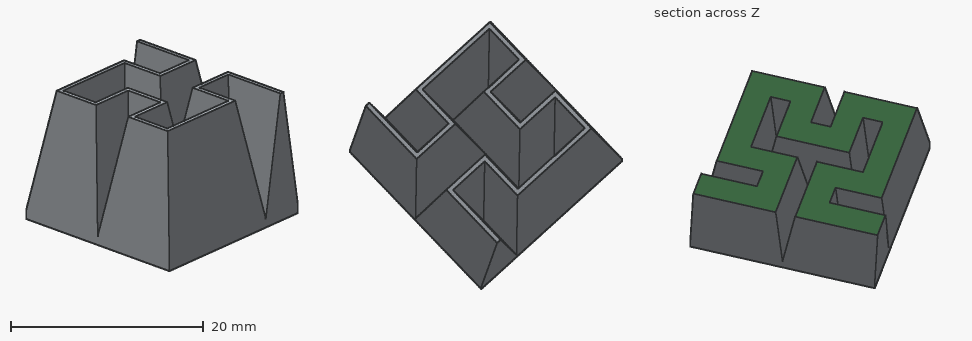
import cadquery as cq
import math

side = 20.0
cells = 4
plate_height = 1.0
wall_height = 13.5
wall_top_width = 0.5

pitch = side / cells
wall_foot_width = pitch
draft = math.degrees(math.atan((wall_foot_width - wall_top_width) / 2 / wall_height))

path_cells = [
    (-1, 3), (1, 3), (1, 2), (0, 2), (0, 0), (1, 0), (1, 1),
    (2, 1), (2, 0), (3, 0), (3, 2), (2, 2), (2, 3), (4, 3),
]


def cell_centre(cell):
    """Position of a grid cell centre, with the footprint centred on the origin."""
    column, row = cell
    return ((column + 0.5) * pitch - side / 2, (row + 0.5) * pitch - side / 2)


def wall_segment(start_cell, end_cell):
    """Straight wall between two cells, tapering equally on all four sides."""
    x_start, y_start = cell_centre(start_cell)
    x_end, y_end = cell_centre(end_cell)
    return (
        cq.Workplane("XY")
        .workplane(offset=plate_height)
        .center((x_start + x_end) / 2, (y_start + y_end) / 2)
        .rect(abs(x_end - x_start) + wall_foot_width, abs(y_end - y_start) + wall_foot_width)
        .extrude(wall_height, taper=draft)
    )


body = cq.Workplane("XY").rect(side, side).extrude(plate_height)

for start_cell, end_cell in zip(path_cells, path_cells[1:]):
    body = body.union(wall_segment(start_cell, end_cell))

envelope = cq.Workplane("XY").rect(side, side).extrude(plate_height + wall_height)
result = body.intersect(envelope).clean()